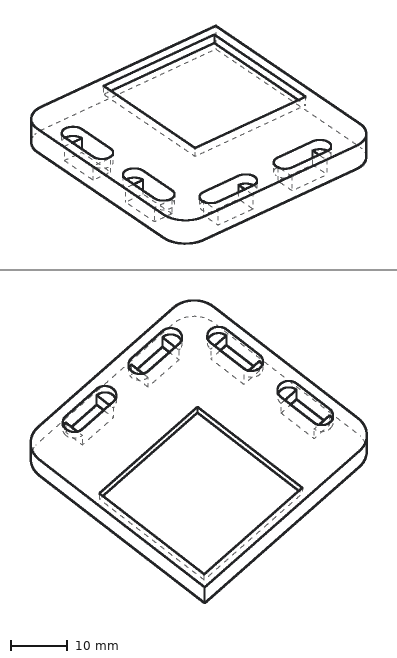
import cadquery as cq

side = 45.0
thickness = 5.0
corner_radius = 5.0

pocket_side = 25.4
pocket_depth = 1.8
pocket_margin = 2.0

slot_width = 4.0
window_length = 8.0
slot_length = window_length + slot_width
slot_depth = 2.0
slot_edge_distance = 4.0
first_slot_position = 14.0
slot_pitch = 17.0


def make_plate():
    """Square plate with three rounded corners and a sharp one at -X, +Y."""
    plate = cq.Workplane("XY").box(side, side, thickness, centered=False)
    return plate.edges("|Z and (>X or <Y)").fillet(corner_radius)


def make_pocket():
    """Square recess, equally far from the two edges of the sharp corner."""
    return (
        cq.Workplane("XY")
        .box(pocket_side, pocket_side, pocket_depth, centered=False)
        .translate((pocket_margin, side - pocket_margin - pocket_side, thickness - pocket_depth))
    )


def make_slot(x, y, angle):
    """Round-ended recess whose straight stretch continues through the plate."""
    recess = (
        cq.Workplane("XY", origin=(0, 0, thickness - slot_depth))
        .slot2D(slot_length, slot_width)
        .extrude(slot_depth)
    )
    window = cq.Workplane("XY").rect(window_length, slot_width).extrude(thickness)
    slot = recess.union(window)
    return slot.rotate((0, 0, 0), (0, 0, 1), angle).translate((x, y, 0))


result = make_plate().cut(make_pocket())
for position in (first_slot_position, first_slot_position + slot_pitch):
    result = result.cut(make_slot(position, slot_edge_distance, 0))
    result = result.cut(make_slot(side - slot_edge_distance, position, 90))